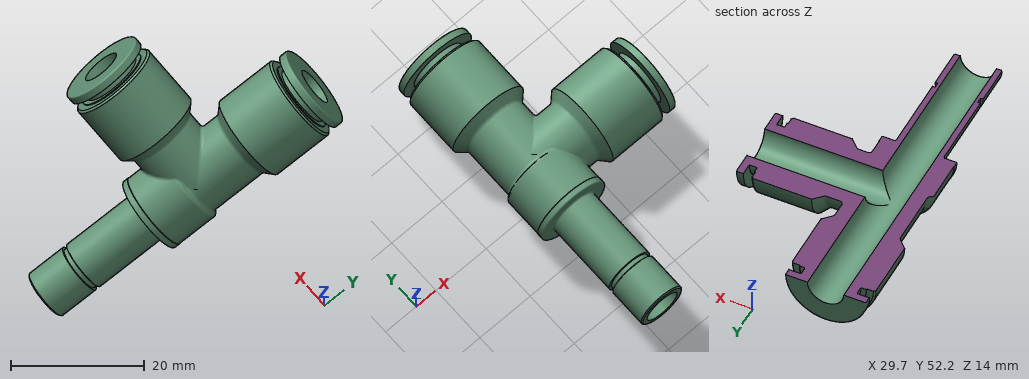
import cadquery as cq
import math


bore_radius = 3.0
pipe_radius = 5.5

port_length = 22.7
flange_radius = 6.75
flange_thickness = 1.25
flange_rounding = 0.25
neck_radius = 4.7
seat_radius = 5.6
seat_end = 20.2
body_radius = 7.0
body_start = 9.95
body_end = 20.05
body_chamfer = 0.3
cone_length = body_radius - pipe_radius
cone_root_fillet = 0.5

collar_radius = 6.2
collar_start = 1.3
collar_start_rounding = 0.4
collar_root_fillet = 0.5
collar_end = 9.45
rim_radius = 6.25
rim_length = 1.1
rim_end_rounding = 0.2

stem_length = 29.5
stem_radius = 4.0
stem_root_fillet = 0.25
stem_end_chamfer = 0.2
stem_groove_radius = 3.6
stem_groove_start = 22.05
stem_groove_end = 22.85

junction_fillet = 0.45

match_tolerance = 0.005

branch_angle = 0
port_run_angle = 90
stem_angle = -90


def turned(outline):
    """Revolve (axial position, radius) points about X, closed along the axis."""
    start = outline[0][0]
    end = outline[-1][0]
    points = [(start, 0)] + outline + [(end, 0)]
    return cq.Workplane("XY").polyline(points).close().revolve(360, (0, 0, 0), (1, 0, 0))


def swung(piece, angle):
    return piece.rotate((0, 0, 0), (0, 0, 1), angle)


def circle_edge(piece, position, radius):
    """Pick the circular edge of a turned piece at an axial position and radius."""
    def matches(edge):
        return (
            edge.geomType() == "CIRCLE"
            and math.isclose(edge.Center().x, position, abs_tol=match_tolerance)
            and math.isclose(edge.radius(), radius, abs_tol=match_tolerance)
        )

    return piece.newObject([edge for edge in piece.edges().vals() if matches(edge)])


def port():
    """Pipe, coned body, release ring neck and flange."""
    cone_start = body_start - cone_length
    flange_start = port_length - flange_thickness
    piece = turned([
        (0, pipe_radius),
        (cone_start, pipe_radius),
        (body_start, body_radius),
        (body_end - body_chamfer, body_radius),
        (body_end, body_radius - body_chamfer),
        (body_end, seat_radius),
        (seat_end, seat_radius),
        (seat_end, neck_radius),
        (flange_start, neck_radius),
        (flange_start, flange_radius),
        (port_length, flange_radius),
    ])
    piece = circle_edge(piece, cone_start, pipe_radius).fillet(cone_root_fillet)
    return circle_edge(piece, port_length, flange_radius).fillet(flange_rounding)


def collar_and_stem():
    """Pipe stub, collar with its rim, and the grooved stem."""
    rim_start = collar_end - rim_length
    rim_rise = rim_radius - collar_radius
    piece = turned([
        (0, pipe_radius),
        (collar_start, pipe_radius),
        (collar_start, collar_radius),
        (rim_start, collar_radius),
        (rim_start + rim_rise, rim_radius),
        (collar_end, rim_radius),
        (collar_end, stem_radius),
        (stem_groove_start, stem_radius),
        (stem_groove_start, stem_groove_radius),
        (stem_groove_end, stem_groove_radius),
        (stem_groove_end, stem_radius),
        (stem_length, stem_radius),
    ])
    piece = circle_edge(piece, collar_start, collar_radius).fillet(collar_start_rounding)
    piece = circle_edge(piece, collar_start, pipe_radius).fillet(collar_root_fillet)
    piece = circle_edge(piece, collar_end, rim_radius).fillet(rim_end_rounding)
    piece = circle_edge(piece, collar_end, stem_radius).fillet(stem_root_fillet)
    return circle_edge(piece, stem_length, stem_radius).chamfer(stem_end_chamfer)


def bore(length):
    return turned([(0, bore_radius), (length, bore_radius)])


def junction_edges(piece):
    """Pick the curved seams where the branch pipe enters the run, all within the collar's reach."""
    def matches(edge):
        box = edge.BoundingBox()
        return (
            edge.geomType() in ("ELLIPSE", "BSPLINE")
            and box.xmin > -match_tolerance
            and box.xmax < rim_radius
        )

    return piece.newObject([edge for edge in piece.edges().vals() if matches(edge)])


run = swung(port(), port_run_angle).union(swung(collar_and_stem(), stem_angle))
branch = swung(port(), branch_angle)
body = run.union(branch)
body = junction_edges(body).fillet(junction_fillet)

for angle, length in (
    (branch_angle, port_length),
    (port_run_angle, port_length),
    (stem_angle, stem_length),
):
    body = body.cut(swung(bore(length), angle))

result = body